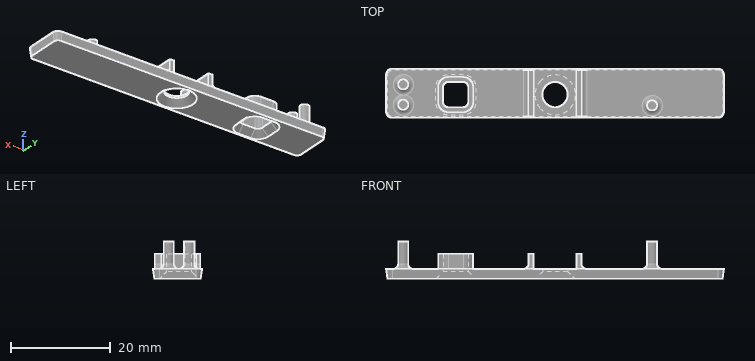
import cadquery as cq
import math

plate_length = 67.7
plate_width = 9.9
plate_thickness = 2.0
plate_corner_radius = 1.3
plate_draft_angle = 8.0

axis_y = -0.3
hole_diameter = 5.0

lip_thickness = 0.51
flare_depth = plate_thickness - lip_thickness
flare_angle = 45.0

tube_x = -19.9
window_size = hole_diameter
window_corner_radius = 1.0
tube_wall = 1.0
tube_height = 3.05

rib_length = 9.2
rib_thickness = 1.0
rib_height = tube_height
rib_gap = 8.6

pin_diameter = 2.0
pin_height = 5.5
pin_pair_x = -30.4
pin_pair_spacing = 4.05
single_pin_x = 19.4
single_pin_y = -2.45
foot_radius = 1.0


def make_plate():
    """Plate drawn at its top face and tapering inward toward the bottom."""
    return (
        cq.Workplane("XY")
        .workplane(offset=plate_thickness)
        .sketch()
        .rect(plate_length, plate_width)
        .vertices()
        .fillet(plate_corner_radius)
        .finalize()
        .extrude(-plate_thickness, taper=plate_draft_angle)
    )


def rounded_square(size, corner_radius, bottom, height):
    """Square prism on the tube axis with rounded vertical edges."""
    return (
        cq.Workplane("XY", origin=(tube_x, axis_y, bottom))
        .rect(size, size)
        .extrude(height)
        .edges("|Z")
        .fillet(corner_radius)
    )


def make_pin(x, y):
    """Revolved pin whose foot is a concave quarter-round flare."""
    radius = pin_diameter / 2
    foot_mid = foot_radius * (1 - math.sqrt(0.5))
    return (
        cq.Workplane("XZ")
        .lineTo(radius + foot_radius, 0)
        .threePointArc((radius + foot_mid, foot_mid), (radius, foot_radius))
        .lineTo(radius, pin_height)
        .lineTo(0, pin_height)
        .close()
        .revolve(360, (0, 0), (0, 1))
        .translate((x, y, plate_thickness))
    )


def make_rib(side):
    """Rib with a concave foot on the face away from the hole; side is -1 or 1."""
    inner = rib_gap / 2
    outer = inner + rib_thickness
    foot_mid = foot_radius * (1 - math.sqrt(0.5))
    return (
        cq.Workplane("XZ", origin=(0, 0, plate_thickness))
        .moveTo(side * inner, 0)
        .lineTo(side * inner, rib_height)
        .lineTo(side * outer, rib_height)
        .lineTo(side * outer, foot_radius)
        .threePointArc((side * (outer + foot_mid), foot_mid), (side * (outer + foot_radius), 0))
        .close()
        .extrude(rib_length / 2, both=True)
    )


result = make_plate()

tube_size = window_size + 2 * tube_wall
tube_corner_radius = window_corner_radius + tube_wall
result = result.union(rounded_square(tube_size, tube_corner_radius, plate_thickness, tube_height))

for rib_side in (-1, 1):
    result = result.union(make_rib(rib_side))

pin_positions = [
    (pin_pair_x, axis_y + pin_pair_spacing / 2),
    (pin_pair_x, axis_y - pin_pair_spacing / 2),
    (single_pin_x, single_pin_y),
]
for pin_x, pin_y in pin_positions:
    result = result.union(make_pin(pin_x, pin_y))

window_height = plate_thickness + tube_height
result = result.cut(rounded_square(window_size, window_corner_radius, 0, window_height))
round_hole = (
    cq.Workplane("XY", origin=(0, axis_y, 0))
    .circle(hole_diameter / 2)
    .extrude(plate_thickness)
)
result = result.cut(round_hole)

flare_width = flare_depth * math.tan(math.radians(flare_angle))
hole_flare = (
    cq.Workplane("XY", origin=(0, axis_y, 0))
    .circle(hole_diameter / 2 + flare_width)
    .extrude(flare_depth, taper=flare_angle)
)
result = result.cut(hole_flare)

flared_window_size = window_size + 2 * flare_width
window_flare = (
    cq.Workplane("XY", origin=(tube_x, axis_y, 0))
    .sketch()
    .rect(flared_window_size, flared_window_size)
    .vertices()
    .fillet(window_corner_radius + flare_width)
    .finalize()
    .extrude(flare_depth, taper=flare_angle)
)
result = result.cut(window_flare)